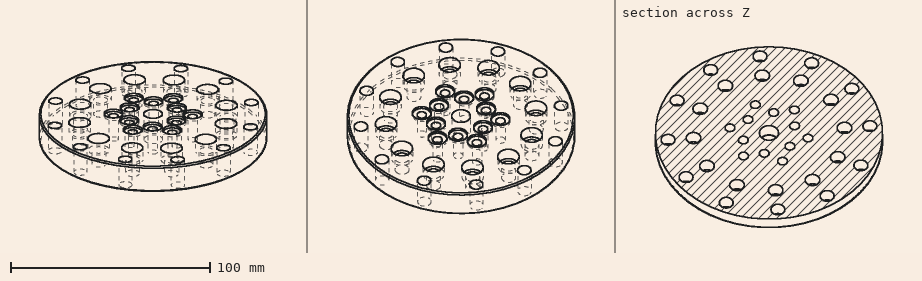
import cadquery as cq

disc_diameter = 114.3
disc_thickness = 14.3
edge_chamfer = 0.8

bore_diameter = 9.4

rim_circle_radius = 50.9
rim_hole_diameter = 6.7

middle_circle_radius = 38.1
middle_hole_diameter = 7.1
middle_counterbore_diameter = 10.7
middle_counterbore_depth = 6.4

near_circle_radius = 13.7
far_circle_radius = 19.9
small_hole_diameter = 4.7
small_counterbore_diameter = 9.5
small_counterbore_depth = 1.3

ring_count = 12
small_circle_count = 6
ring_half_pitch = 360 / ring_count / 2
small_half_pitch = 360 / small_circle_count / 2


def points_on_circle(body, radius, count, start_angle):
    """Select evenly spaced points around the disc axis on the top face."""
    top = body.faces(">Z").workplane(origin=(0, 0, disc_thickness))
    return top.polarArray(radius, start_angle, 360, count)


def make_disc():
    """Round plate with its top and bottom edges chamfered, bored through the centre."""
    disc = cq.Workplane("XY").circle(disc_diameter / 2).extrude(disc_thickness)
    disc = disc.faces("<Z or >Z").edges().chamfer(edge_chamfer)
    return disc.faces(">Z").workplane().hole(bore_diameter)


def add_rim_holes(body):
    """Through holes that straddle the X and Y axes."""
    points = points_on_circle(body, rim_circle_radius, ring_count, ring_half_pitch)
    return points.hole(rim_hole_diameter)


def add_middle_holes(body):
    """Counterbored holes in line with the rim holes."""
    points = points_on_circle(body, middle_circle_radius, ring_count, ring_half_pitch)
    return points.cboreHole(
        middle_hole_diameter, middle_counterbore_diameter, middle_counterbore_depth
    )


def add_small_holes(body, radius, start_angle):
    """One circle of small counterbored holes."""
    points = points_on_circle(body, radius, small_circle_count, start_angle)
    return points.cboreHole(
        small_hole_diameter, small_counterbore_diameter, small_counterbore_depth
    )


result = make_disc()
result = add_rim_holes(result)
result = add_middle_holes(result)

result = add_small_holes(result, near_circle_radius, 0)
result = add_small_holes(result, far_circle_radius, small_half_pitch)